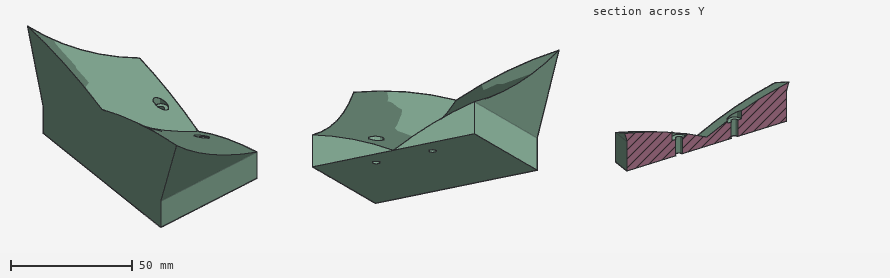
import cadquery as cq

depth = 50.8
height = 50.8
half_width_top = 49.2
half_width_base = 38.8
wall_height = 14.1
valley_front_height = 38.1

front_bulge = 1.9
back_bulge = 1.4
slope_sag = 3.3

hole_spacing = 27.0
hole_y = 41.8
hole_diameter = 3.1
counterbore_diameter = 6.4
counterbore_floor = 8.0

base_front_inner = cq.Vector(0, 0, 0)
base_front_outer = cq.Vector(half_width_base, 0, 0)
base_back_outer = cq.Vector(half_width_base, depth, 0)
valley_back = cq.Vector(0, depth, 0)
valley_front = cq.Vector(0, 0, valley_front_height)
wall_front = cq.Vector(half_width_base, 0, wall_height)
wall_back = cq.Vector(half_width_base, depth, wall_height)
tip = cq.Vector(half_width_top, 0, height)


def arc(start, end, plane_normal, bulge):
    """Arc in the plane of the given normal, bowed along normal x chord."""
    chord = end - start
    offset = plane_normal.cross(chord).normalized() * bulge
    return cq.Edge.makeThreePointArc(start, (start + end) * 0.5 + offset, end)


def line(start, end):
    return cq.Edge.makeLine(start, end)


def flat_face(*edges):
    return cq.Face.makeFromWires(cq.Wire.assembleEdges(edges))


def half_block():
    """Solid on the +X side of the valley."""
    y_normal = cq.Vector(0, -1, 0)
    x_normal = cq.Vector(1, 0, 0)
    flare_normal = (wall_back - wall_front).cross(tip - wall_front).normalized()
    front_arc = arc(valley_front, tip, y_normal, front_bulge)
    back_arc = arc(valley_back, wall_back, y_normal, back_bulge)
    valley_arc = arc(valley_front, valley_back, x_normal, -slope_sag)
    side_arc = arc(tip, wall_back, flare_normal, -slope_sag)

    bottom_front = line(base_front_inner, base_front_outer)
    bottom_side = line(base_front_outer, base_back_outer)
    bottom_back = line(base_back_outer, valley_back)
    bottom_middle = line(valley_back, base_front_inner)
    front_corner = line(base_front_outer, wall_front)
    back_corner = line(base_back_outer, wall_back)
    wall_top = line(wall_front, wall_back)
    flare = line(wall_front, tip)
    middle_front = line(valley_front, base_front_inner)

    faces = [
        flat_face(bottom_front, bottom_side, bottom_back, bottom_middle),
        flat_face(bottom_front, front_corner, flare, front_arc, middle_front),
        flat_face(bottom_back, back_corner, back_arc),
        flat_face(bottom_side, back_corner, wall_top, front_corner),
        flat_face(wall_top, side_arc, flare),
        flat_face(middle_front, valley_arc, bottom_middle),
        cq.Face.makeNSidedSurface([front_arc, side_arc, back_arc, valley_arc], []),
    ]
    return cq.Workplane(obj=cq.Solid.makeSolid(cq.Shell.makeShell(faces)).fix())


def screw_hole(x):
    """Through hole with a counterbore open to the curved top."""
    through = cq.Workplane().center(x, hole_y).circle(hole_diameter / 2).extrude(height)
    counterbore = (
        cq.Workplane()
        .workplane(offset=counterbore_floor)
        .center(x, hole_y)
        .circle(counterbore_diameter / 2)
        .extrude(height)
    )
    return through.union(counterbore)


right_half = half_block()
result = right_half.union(right_half.mirror("YZ"))
for side in (-1, 1):
    result = result.cut(screw_hole(side * hole_spacing / 2))